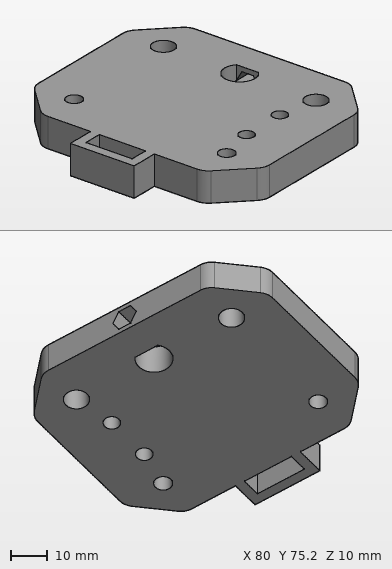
import cadquery as cq
import math

plate_width = 80
plate_length = 66.2
thickness = 10.0
corner_chamfer = 12
corner_radius = 5.2

slot_width = 16
slot_length = 6.0
loop_wall = 3.0
loop_width = slot_width + 2 * loop_wall
loop_length = slot_length + loop_wall

mount_x = 26.4
mount_spacing_y = 40
upper_mount_y = plate_length / 2 - 13.6
lower_mount_y = upper_mount_y - mount_spacing_y
upper_mount_diameter = 7.2
lower_mount_diameter = 5.2
side_hole_x = 23.9
side_hole_diameter = 4.8
side_hole_spacing = 15.0
side_hole_y = upper_mount_y - 13.0

opening_diameter = 10.4
opening_flat_offset = 3.5
bore_across_flats = 6.9
bore_across_corners = bore_across_flats / math.cos(math.pi / 6)


def through_hole(x, y, diameter):
    return cq.Workplane("XY").center(x, y).circle(diameter / 2).extrude(thickness)


def make_plate():
    plate = cq.Workplane("XY").rect(plate_width, plate_length).extrude(thickness)
    plate = plate.edges("|Z").chamfer(corner_chamfer)
    return plate.edges("|Z").fillet(corner_radius)


def make_loop():
    edge_y = -plate_length / 2
    outer = cq.Workplane("XY").box(loop_width, loop_length, thickness, centered=(True, False, False))
    outer = outer.translate((0, edge_y - loop_length, 0))
    slot = cq.Workplane("XY").box(slot_width, slot_length, thickness, centered=(True, False, False))
    return outer.cut(slot.translate((0, edge_y - slot_length, 0)))


def make_flatted_opening():
    keep = cq.Workplane("XY").box(
        opening_diameter, opening_diameter, thickness, centered=(True, False, False)
    )
    keep = keep.translate((0, upper_mount_y + opening_flat_offset - opening_diameter, 0))
    return through_hole(0, upper_mount_y, opening_diameter).intersect(keep)


def make_edge_bore():
    edge_plane = cq.Workplane("XZ", origin=(0, plate_length / 2, thickness / 2))
    return edge_plane.polygon(6, bore_across_corners).extrude(plate_length / 2 - upper_mount_y)


result = make_plate().union(make_loop())
for side in (-1, 1):
    result = result.cut(through_hole(side * mount_x, upper_mount_y, upper_mount_diameter))
    result = result.cut(through_hole(side * mount_x, lower_mount_y, lower_mount_diameter))
for index in range(2):
    hole_y = side_hole_y - index * side_hole_spacing
    result = result.cut(through_hole(side_hole_x, hole_y, side_hole_diameter))
result = result.cut(make_flatted_opening()).cut(make_edge_bore())